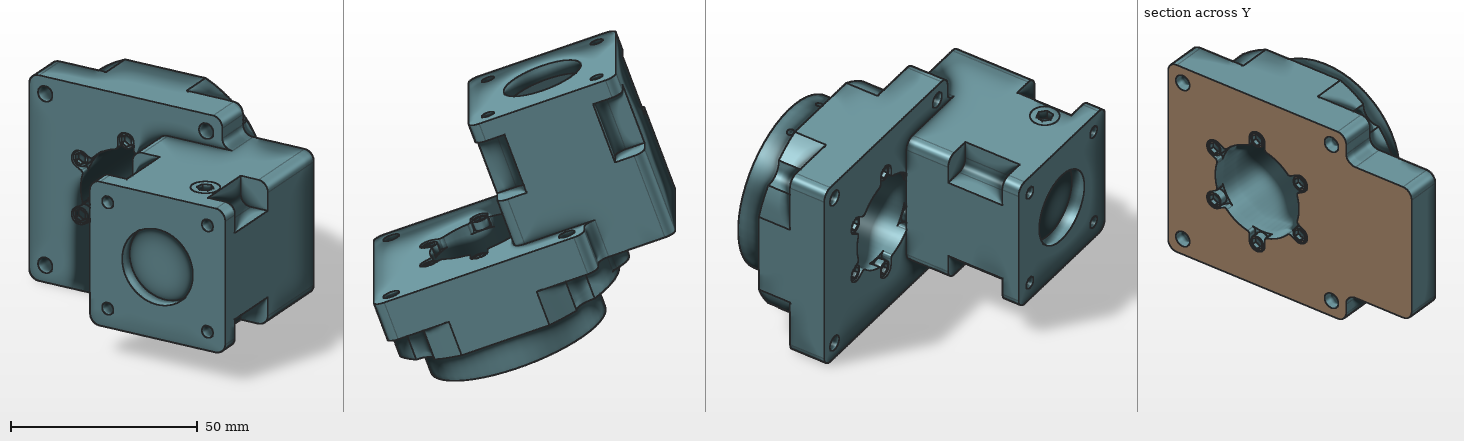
import cadquery as cq
import math

FLANGE_LENGTH = 10.0
HOUSING_BACK = 20.0
PLATE_BACK = 31.0
TOTAL_LENGTH = 67.0

FLANGE_RADIUS = 25.0
BORE_RADIUS = 14.0
DIMPLE_RADIUS = 1.0
DIMPLE_DEPTH = 0.8
DIMPLE_OVERSHOOT = 1.1
DIMPLE_OFFSET_ANGLE = 16.3

PLATE_SIDE = 60.0
CORNER_RADIUS = 3.0
PLATE_HOLE_PITCH = 50.0
PLATE_HOLE_RADIUS = 2.25

HOUSING_RADIUS = 32.5
HOLE_RELIEF_RADIUS = 4.75
BULGE_RADIUS = 9.0
BULGE_CENTER_X = 27.0
BULGE_FRONT = 12.0
BULGE_BLEND_RADIUS = 3.0

MOTOR_SIDE = 42.0
MOTOR_CENTER_X = 31.0
MOTOR_HOLE_PITCH = 31.0
MOTOR_HOLE_RADIUS = 1.75
MOTOR_HOLE_DEPTH = 5.0
PILOT_RADIUS = 11.0
PILOT_DEPTH = 4.0
NOTCH_SIDE = 8.4
NOTCH_START = 44.4
NOTCH_END = 61.8

CLAMP_SCREW_X = 39.4
CLAMP_SCREW_STATION = 56.0
CLAMP_HEAD_RADIUS = 3.99
CLAMP_SEAT_RADIUS = 4.0
CLAMP_HEAD_HEIGHT = 4.0
CLAMP_HEX_ACROSS_FLATS = 4.0
CLAMP_HEX_DEPTH = 2.5
CLAMP_HEX_TURN = 18.0

CAP_SCREW_COUNT = 6
CAP_SCREW_CIRCLE_RADIUS = 16.5
CAP_SLOT_WIDTH = 5.0
CAP_SLOT_DEPTH = 3.0
CAP_SLOT_MOUTH_RADIUS = 1.0
CAP_HEAD_RADIUS = 2.2
CAP_HEAD_HEIGHT = 2.5
CAP_HEX_ACROSS_FLATS = 3.0
CAP_HEX_DEPTH = 1.5

HALF_PLATE = PLATE_SIDE / 2
HALF_MOTOR = MOTOR_SIDE / 2


def section(station):
    """Workplane facing -Y at the given distance behind the flange face; local axes are X and Z."""
    return cq.Workplane("XZ", origin=(0, -station, 0))


def box_between(x_size, z_size, center_x, start, end):
    return section(start).center(center_x, 0).rect(x_size, z_size).extrude(end - start)


def disc(x, z, radius, start, end):
    return section(start).center(x, z).circle(radius).extrude(end - start)


def hex_corner_diameter(across_flats):
    return across_flats / math.cos(math.pi / 6)


def square_corners(pitch, center_x=0.0):
    half = pitch / 2
    return [(center_x + sx * half, sz * half) for sx in (-1, 1) for sz in (-1, 1)]


def make_flange():
    flange = disc(0, 0, FLANGE_RADIUS, 0, FLANGE_LENGTH)
    cone_height = DIMPLE_OVERSHOOT * DIMPLE_DEPTH
    tip = FLANGE_RADIUS - DIMPLE_DEPTH
    cone = cq.Solid.makeCone(
        0,
        DIMPLE_OVERSHOOT * DIMPLE_RADIUS,
        cone_height,
        pnt=cq.Vector(0, -FLANGE_LENGTH / 2, tip),
        dir=cq.Vector(0, 0, 1),
    )
    dimple = cq.Workplane(cone)
    for angle in (-DIMPLE_OFFSET_ANGLE, DIMPLE_OFFSET_ANGLE):
        flange = flange.cut(dimple.rotate((0, 0, 0), (0, 1, 0), angle))
    return flange


def make_bulge():
    """Round bulge on the +X side of the housing, blended into it by concave arcs."""
    reach = HOUSING_RADIUS + BULGE_BLEND_RADIUS
    bulge_reach = BULGE_RADIUS + BULGE_BLEND_RADIUS
    blend_x = (reach**2 + BULGE_CENTER_X**2 - bulge_reach**2) / (2 * BULGE_CENTER_X)
    blend_z = math.sqrt(reach**2 - blend_x**2)
    housing_x = blend_x * HOUSING_RADIUS / reach
    housing_z = blend_z * HOUSING_RADIUS / reach
    bulge_x = BULGE_CENTER_X + (blend_x - BULGE_CENTER_X) * BULGE_RADIUS / bulge_reach
    bulge_z = blend_z * BULGE_RADIUS / bulge_reach
    to_chord_x = (housing_x + bulge_x) / 2 - blend_x
    to_chord_z = (housing_z + bulge_z) / 2 - blend_z
    stretch = BULGE_BLEND_RADIUS / math.hypot(to_chord_x, to_chord_z)
    mid_x = blend_x + to_chord_x * stretch
    mid_z = blend_z + to_chord_z * stretch
    return (
        section(BULGE_FRONT)
        .moveTo(0, 0)
        .lineTo(housing_x, -housing_z)
        .threePointArc((mid_x, -mid_z), (bulge_x, -bulge_z))
        .threePointArc((BULGE_CENTER_X + BULGE_RADIUS, 0), (bulge_x, bulge_z))
        .threePointArc((mid_x, mid_z), (housing_x, housing_z))
        .close()
        .extrude(HOUSING_BACK - BULGE_FRONT)
    )


def make_housing():
    """Round housing, flush with the plate on -X, +Z and -Z and full on +X."""
    housing = disc(0, 0, HOUSING_RADIUS, FLANGE_LENGTH, HOUSING_BACK)
    trim_width = HALF_PLATE + HOUSING_RADIUS
    trim_center = (HOUSING_RADIUS - HALF_PLATE) / 2
    housing = housing.intersect(
        box_between(trim_width, PLATE_SIDE, trim_center, FLANGE_LENGTH, HOUSING_BACK)
    )
    housing = housing.union(make_bulge())
    for x, z in square_corners(PLATE_HOLE_PITCH):
        housing = housing.cut(disc(x, z, HOLE_RELIEF_RADIUS, FLANGE_LENGTH, HOUSING_BACK))
    return housing


def make_plate():
    """Square plate with a web that blends it into the motor block."""
    plate = box_between(PLATE_SIDE, PLATE_SIDE, 0, HOUSING_BACK, PLATE_BACK).edges("|Y").fillet(CORNER_RADIUS)
    blend_side = 2 * CORNER_RADIUS
    web = box_between(blend_side, MOTOR_SIDE + blend_side, HALF_PLATE, HOUSING_BACK, PLATE_BACK)
    for side in (-1, 1):
        web = web.cut(
            disc(
                HALF_PLATE + CORNER_RADIUS,
                side * (HALF_MOTOR + CORNER_RADIUS),
                CORNER_RADIUS,
                HOUSING_BACK,
                PLATE_BACK,
            )
        )
    return plate.union(web)


def make_motor():
    motor = box_between(MOTOR_SIDE, MOTOR_SIDE, MOTOR_CENTER_X, HOUSING_BACK, TOTAL_LENGTH)
    motor = motor.edges("|Y").fillet(CORNER_RADIUS)
    for x, z in square_corners(MOTOR_SIDE, MOTOR_CENTER_X):
        notch = (
            section(NOTCH_START)
            .center(x, z)
            .rect(2 * NOTCH_SIDE, 2 * NOTCH_SIDE)
            .extrude(NOTCH_END - NOTCH_START)
            .edges("|Y")
            .fillet(CORNER_RADIUS)
        )
        motor = motor.cut(notch)
    motor = motor.cut(disc(MOTOR_CENTER_X, 0, PILOT_RADIUS, TOTAL_LENGTH - PILOT_DEPTH, TOTAL_LENGTH))
    for x, z in square_corners(MOTOR_HOLE_PITCH, MOTOR_CENTER_X):
        motor = motor.cut(disc(x, z, MOTOR_HOLE_RADIUS, TOTAL_LENGTH - MOTOR_HOLE_DEPTH, TOTAL_LENGTH))
    return cut_clamp_screw(motor)


def cut_clamp_screw(motor):
    """Clearance ring around the flush screw head, and the hexagon socket in it."""
    top = cq.Workplane("XY", origin=(CLAMP_SCREW_X, -CLAMP_SCREW_STATION, HALF_MOTOR))
    ring = top.circle(CLAMP_SEAT_RADIUS).circle(CLAMP_HEAD_RADIUS).extrude(-CLAMP_HEAD_HEIGHT)
    socket = (
        top.transformed(rotate=(0, 0, CLAMP_HEX_TURN))
        .polygon(6, hex_corner_diameter(CLAMP_HEX_ACROSS_FLATS))
        .extrude(-CLAMP_HEX_DEPTH)
    )
    return motor.cut(ring).cut(socket)


def make_cap_slot():
    """Round-ended slot from the bore out to the +X screw position, with a rounded mouth at the bore."""
    floor = PLATE_BACK - CAP_SLOT_DEPTH
    slot = box_between(
        CAP_SCREW_CIRCLE_RADIUS, CAP_SLOT_WIDTH, CAP_SCREW_CIRCLE_RADIUS / 2, floor, PLATE_BACK
    )
    slot = slot.union(disc(CAP_SCREW_CIRCLE_RADIUS, 0, CAP_SLOT_WIDTH / 2, floor, PLATE_BACK))
    arc_z = CAP_SLOT_WIDTH / 2 + CAP_SLOT_MOUTH_RADIUS
    arc_reach = BORE_RADIUS + CAP_SLOT_MOUTH_RADIUS
    arc_x = math.sqrt(arc_reach**2 - arc_z**2)
    mouth = section(floor).polyline([(0, 0), (arc_x, -arc_z), (arc_x, arc_z)]).close().extrude(CAP_SLOT_DEPTH)
    for side in (-1, 1):
        mouth = mouth.cut(disc(arc_x, side * arc_z, CAP_SLOT_MOUTH_RADIUS, floor, PLATE_BACK))
    return slot.union(mouth)


def make_cap_screw():
    """Screw head standing on the slot floor, with a hexagon socket that has a corner pointing outward."""
    floor = PLATE_BACK - CAP_SLOT_DEPTH
    top = floor + CAP_HEAD_HEIGHT
    head = disc(CAP_SCREW_CIRCLE_RADIUS, 0, CAP_HEAD_RADIUS, floor, top)
    socket = (
        section(top - CAP_HEX_DEPTH)
        .center(CAP_SCREW_CIRCLE_RADIUS, 0)
        .polygon(6, hex_corner_diameter(CAP_HEX_ACROSS_FLATS))
        .extrude(CAP_HEX_DEPTH)
    )
    return head.cut(socket)


def around_bore(shape):
    """Copies of a shape at every cap screw position."""
    step = 360 / CAP_SCREW_COUNT
    return [shape.rotate((0, 0, 0), (0, 1, 0), step * (i + 0.5)) for i in range(CAP_SCREW_COUNT)]


def make_part():
    body = make_flange().union(make_housing()).union(make_plate())
    for x, z in square_corners(PLATE_HOLE_PITCH):
        body = body.cut(disc(x, z, PLATE_HOLE_RADIUS, HOUSING_BACK, PLATE_BACK))
    body = body.union(make_motor())
    body = body.cut(disc(0, 0, BORE_RADIUS, 0, PLATE_BACK))
    for slot in around_bore(make_cap_slot()):
        body = body.cut(slot)
    for screw in around_bore(make_cap_screw()):
        body = body.union(screw)
    return body


result = make_part()